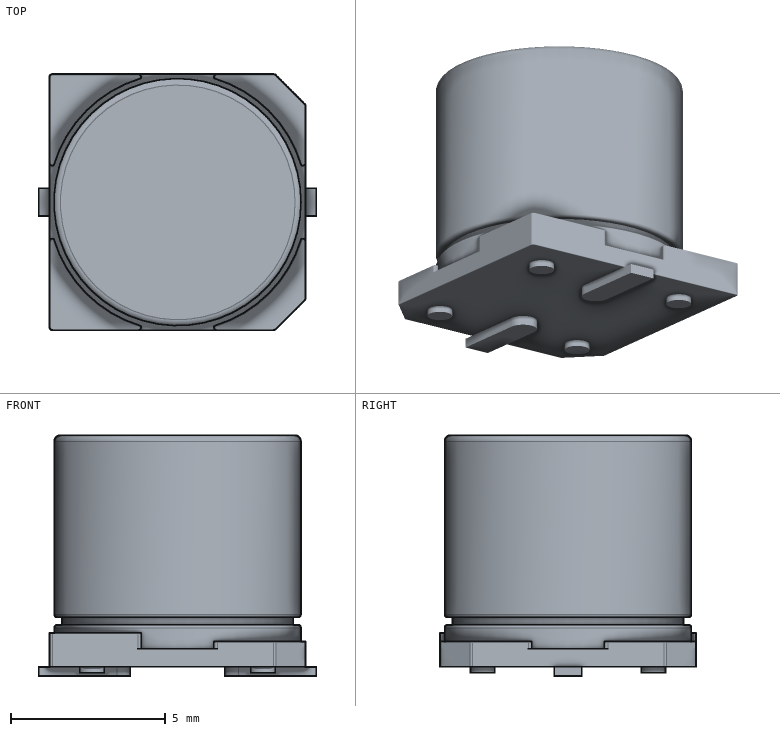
import cadquery as cq


TOTAL_LENGTH = 9.0
TOTAL_HEIGHT = 7.8
OVERLAP = 0.1

BASE_WIDTH = 8.3
BASE_BOTTOM = 0.3
BASE_FLOOR = 0.88
LEFT_POST_TOP = 1.4
RIGHT_POST_TOP = 1.12
CORNER_CHAMFER = 1.0
CORNER_RADIUS = 0.1
RIM_RADIUS = 0.02
SEAT_RADIUS = 4.18
NOTCH_WIDTH = 2.36
POST_OUTER_RADIUS = 0.1
POST_INNER_RADIUS = 0.04

CAN_RADIUS = 4.0
CAN_TOP_RADIUS = 0.2
CRIMP_RADIUS = 3.75
CRIMP_BOTTOM = 1.66
CRIMP_TOP = 1.9
CRIMP_LIP_RADIUS = 0.1

TERMINAL_WIDTH = 0.9
TERMINAL_INNER_END = 1.525
PEG_DIAMETER = 0.8
PEG_BOTTOM = 0.1
PEG_OFFSET = 2.765

HALF_BASE = BASE_WIDTH / 2


def make_base_block(top):
    """Square block with two chamfered corners on the +X side and rounded upright edges."""
    block = cq.Workplane("XY").workplane(offset=BASE_BOTTOM)
    block = block.rect(BASE_WIDTH, BASE_WIDTH).extrude(top - BASE_BOTTOM)
    block = block.edges("|Z and >X").chamfer(CORNER_CHAMFER)
    return block.edges("|Z").fillet(CORNER_RADIUS)


def make_seat_cutter():
    """Round can seat joined with the two crossing notches that open through the sides."""
    start = cq.Workplane("XY").workplane(offset=BASE_FLOOR)
    depth = TOTAL_HEIGHT - BASE_FLOOR
    seat = start.circle(SEAT_RADIUS).extrude(depth)
    notch_x = start.rect(2 * BASE_WIDTH, NOTCH_WIDTH).extrude(depth)
    notch_y = start.rect(NOTCH_WIDTH, 2 * BASE_WIDTH).extrude(depth)
    return seat.union(notch_x).union(notch_y)


def make_corner_post(side_x, side_y, top):
    """Raised corner of the base, with its upright edges rounded where it meets the notches."""
    block = make_base_block(top).cut(make_seat_cutter())
    quadrant = cq.Workplane("XY").box(HALF_BASE, HALF_BASE, top - BASE_FLOOR, centered=(True, True, False))
    quadrant = quadrant.translate((side_x * HALF_BASE / 2, side_y * HALF_BASE / 2, BASE_FLOOR))
    post = block.intersect(quadrant)

    half_notch = NOTCH_WIDTH / 2
    seat_reach = (SEAT_RADIUS**2 - half_notch**2) ** 0.5
    middle = (BASE_FLOOR + top) / 2
    for reach, radius in ((HALF_BASE, POST_OUTER_RADIUS), (seat_reach, POST_INNER_RADIUS)):
        for x, y in ((reach, half_notch), (half_notch, reach)):
            corner = cq.selectors.NearestToPointSelector((side_x * x, side_y * y, middle))
            post = post.edges("|Z").edges(corner).fillet(radius)
    return post


def make_base():
    """Base plate with a taller pair of posts on the -X side and a lower pair on the +X side."""
    base = make_base_block(BASE_FLOOR).faces("<Z").edges().fillet(RIM_RADIUS)
    for side_x, top in ((-1, LEFT_POST_TOP), (1, RIGHT_POST_TOP)):
        for side_y in (-1, 1):
            post = make_corner_post(side_x, side_y, top)
            base = base.union(post.faces(">Z").edges().fillet(RIM_RADIUS))
    return base


def make_can():
    """Solid can with a crimp groove near its foot and rounded edges."""
    lower_height = CRIMP_BOTTOM - BASE_FLOOR
    lower = cq.Workplane("XY").workplane(offset=BASE_FLOOR - OVERLAP)
    lower = lower.circle(CAN_RADIUS).extrude(lower_height + OVERLAP)
    lower = lower.faces(">Z").edges().fillet(CRIMP_LIP_RADIUS)

    upper = cq.Workplane("XY").workplane(offset=CRIMP_TOP)
    upper = upper.circle(CAN_RADIUS).extrude(TOTAL_HEIGHT - CRIMP_TOP)
    upper = upper.faces("<Z").edges().fillet(CRIMP_LIP_RADIUS)
    upper = upper.faces(">Z").edges().fillet(CAN_TOP_RADIUS)

    neck = cq.Workplane("XY").workplane(offset=CRIMP_BOTTOM - OVERLAP)
    neck = neck.circle(CRIMP_RADIUS).extrude(CRIMP_TOP - CRIMP_BOTTOM + 2 * OVERLAP)
    return lower.union(neck).union(upper)


def make_terminal(side_x):
    """Flat strip that sticks out of the base and ends in a half circle under it."""
    outer_end = side_x * TOTAL_LENGTH / 2
    inner_end = side_x * TERMINAL_INNER_END
    arc_start = side_x * (TERMINAL_INNER_END + TERMINAL_WIDTH / 2)
    half_width = TERMINAL_WIDTH / 2
    outline = (
        cq.Workplane("XY")
        .moveTo(outer_end, -half_width)
        .lineTo(arc_start, -half_width)
        .threePointArc((inner_end, 0), (arc_start, half_width))
        .lineTo(outer_end, half_width)
        .close()
    )
    return outline.extrude(BASE_BOTTOM)


def make_pegs():
    """Four round standoff pegs under the base."""
    pegs = cq.Workplane("XY").workplane(offset=PEG_BOTTOM)
    pegs = pegs.rect(2 * PEG_OFFSET, 2 * PEG_OFFSET, forConstruction=True).vertices()
    return pegs.circle(PEG_DIAMETER / 2).extrude(BASE_BOTTOM - PEG_BOTTOM + OVERLAP)


result = make_base().union(make_can()).union(make_pegs())
for side in (-1, 1):
    result = result.union(make_terminal(side))